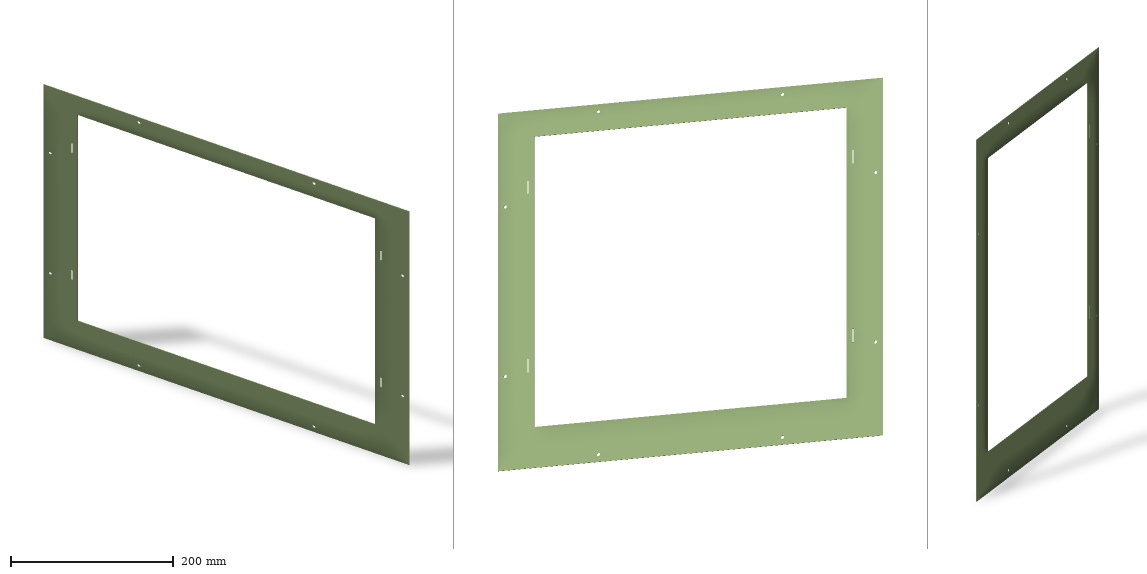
import cadquery as cq

width = 498.0
height = 458.0
thickness = 0.8

side_rail = 47.0
top_rail = 34.0
bottom_rail = 52.5
window_width = width - 2 * side_rail
window_height = height - top_rail - bottom_rail
window_center_z = (bottom_rail - top_rail) / 2

hole_diameter = 4.0
hole_inset = 9.5
edge_hole_x = 119.0
edge_hole_z = 108.5

slot_length = 17.5
slot_width = 1.5
slot_center_offset = 8.0
upper_slot_z = 131.5
lower_slot_z = -97.5


def through_cutter(sketch):
    """Extrude a closed XZ outline symmetrically, right through the plate."""
    return sketch.extrude(thickness, both=True)


def mirrored_points(x, z):
    """The four points at plus and minus x and z."""
    return [(side * x, level * z) for side in (-1, 1) for level in (-1, 1)]


plate = cq.Workplane("XZ").rect(width, height).extrude(thickness / 2, both=True)

window = through_cutter(
    cq.Workplane("XZ").center(0, window_center_z).rect(window_width, window_height)
)

hole_points = mirrored_points(edge_hole_x, height / 2 - hole_inset)
hole_points += mirrored_points(width / 2 - hole_inset, edge_hole_z)
holes = through_cutter(cq.Workplane("XZ").pushPoints(hole_points).circle(hole_diameter / 2))

slot_x = window_width / 2 + slot_center_offset
slot_points = [(side * slot_x, z) for side in (-1, 1) for z in (lower_slot_z, upper_slot_z)]
slots = through_cutter(cq.Workplane("XZ").pushPoints(slot_points).rect(slot_width, slot_length))

result = plate.cut(window).cut(holes).cut(slots)